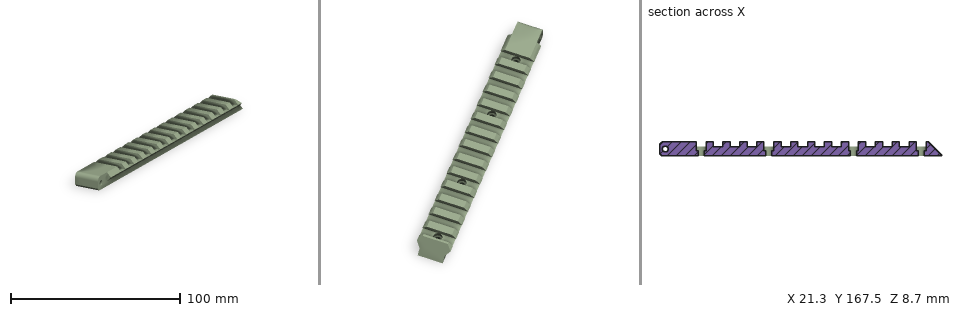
import cadquery as cq

LENGTH = 167.5
WIDTH = 21.3
HEIGHT = 8.7
BODY_WIDTH = 15.7

FRONT_Y = -LENGTH / 2
BACK_Y = LENGTH / 2
NOSE_LENGTH = 10.4
NOSE_TOP_RADIUS = 2.8
NOSE_BOTTOM_CHAMFER = 1.5

PIN_DIAMETER = 3.2
PIN_SETBACK = 3.5
PIN_HEIGHT = 4.2

SLOT_COUNT = 14
SLOT_SPAN = 130.0
SLOT_PITCH = SLOT_SPAN / (SLOT_COUNT - 1)
SLOT_WIDTH = 5.4
SLOT_DEPTH = 3.0
SLOT_FLOOR = HEIGHT - SLOT_DEPTH
FIRST_SLOT_SETBACK = 12.7

SCREW_SLOTS = (0, 4, 9, 13)
SCREW_DIAMETER = 3.3
SCREW_HEAD_DIAMETER = 5.5
SCREW_HEAD_DEPTH = 2.5


def make_body():
    """Plain bar with a rounded, chamfered nose and a 45 degree slope at the back."""
    outline = [
        (FRONT_Y, 0),
        (BACK_Y, 0),
        (BACK_Y - HEIGHT, HEIGHT),
        (FRONT_Y, HEIGHT),
    ]
    bar = cq.Workplane("YZ").polyline(outline).close().extrude(BODY_WIDTH / 2, both=True)
    bar = bar.faces("<Y").edges(">Z").fillet(NOSE_TOP_RADIUS)
    return bar.faces("<Y").edges("<Z").chamfer(NOSE_BOTTOM_CHAMFER)


def make_side_wedges():
    """45 degree clamping wedges along both sides, cut off by the back slope."""
    flank = (WIDTH - BODY_WIDTH) / 2
    ridge_z = HEIGHT - flank
    wedge_bottom = ridge_z - flank
    section = [
        (-BODY_WIDTH / 2, wedge_bottom),
        (-WIDTH / 2, ridge_z),
        (-BODY_WIDTH / 2, HEIGHT),
        (BODY_WIDTH / 2, HEIGHT),
        (WIDTH / 2, ridge_z),
        (BODY_WIDTH / 2, wedge_bottom),
    ]
    wedges = (
        cq.Workplane("XZ", origin=(0, BACK_Y, 0))
        .polyline(section)
        .close()
        .extrude(LENGTH - NOSE_LENGTH)
    )
    beyond_slope = (
        cq.Workplane("YZ")
        .polyline([(BACK_Y, 0), (BACK_Y, HEIGHT), (BACK_Y - HEIGHT, HEIGHT)])
        .close()
        .extrude(WIDTH, both=True)
    )
    return wedges.cut(beyond_slope)


def slot_y(index):
    """Centre of a cross slot along the rail."""
    return BACK_Y - FIRST_SLOT_SETBACK - index * SLOT_PITCH


def vertical_cylinder(diameter, y, bottom):
    """Cylinder on the rail's centre line, reaching up to the top face."""
    return (
        cq.Workplane("XY", origin=(0, y, bottom))
        .circle(diameter / 2)
        .extrude(HEIGHT - bottom)
    )


rail = make_body().union(make_side_wedges())

slot_cutter = cq.Workplane("XY").box(WIDTH, SLOT_WIDTH, SLOT_DEPTH, centered=(True, True, False))
for slot in range(SLOT_COUNT):
    rail = rail.cut(slot_cutter.translate((0, slot_y(slot), SLOT_FLOOR)))

for slot in SCREW_SLOTS:
    hole_y = slot_y(slot)
    rail = rail.cut(vertical_cylinder(SCREW_DIAMETER, hole_y, 0))
    rail = rail.cut(vertical_cylinder(SCREW_HEAD_DIAMETER, hole_y, SLOT_FLOOR - SCREW_HEAD_DEPTH))

pin = (
    cq.Workplane("YZ")
    .center(FRONT_Y + PIN_SETBACK, PIN_HEIGHT)
    .circle(PIN_DIAMETER / 2)
    .extrude(BODY_WIDTH / 2, both=True)
)

result = rail.cut(pin)